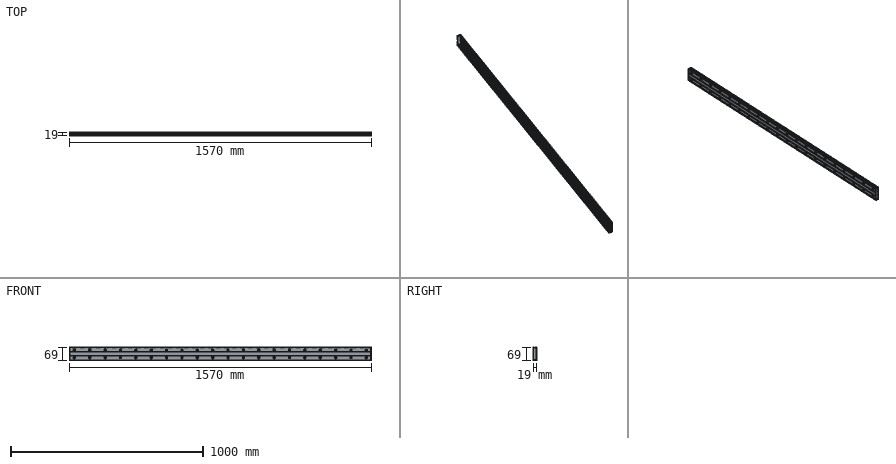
import cadquery as cq

length = 1570.0
thickness = 19.0
height = 69.0

channel_width = 20.5
channel_depth = 1.0

lip_thickness = 4.5
lip_wall_run = 1.0

track_center = 5.0
track_crest = 3.0
track_height = 2.0

hole_diameter = 7.0
hole_pitch = 80.0
hole_columns = 20
hole_row_spacing = 39.0


def upper_section():
    """Upper half of the rail section as (y, z) points, front to rear."""
    front = -thickness / 2
    rear = thickness / 2
    top = height / 2
    floor = top - track_height
    channel_edge = channel_width / 2
    lip_rear = front + lip_thickness
    crest_front = track_center - track_crest / 2
    crest_rear = track_center + track_crest / 2
    return [
        (front + channel_depth, channel_edge),
        (front, channel_edge),
        (front, top),
        (lip_rear, top),
        (lip_rear + lip_wall_run, floor),
        (crest_front - track_height, floor),
        (crest_front, top),
        (crest_rear, top),
        (crest_rear + track_height, floor),
        (rear, floor),
        (rear, channel_edge),
        (rear - channel_depth, channel_edge),
    ]


def rail_body():
    """Rail of constant section, symmetric above and below its middle."""
    upper = upper_section()
    lower = [(y, -z) for y, z in reversed(upper)]
    section = cq.Workplane("YZ").polyline(upper + lower).close()
    return section.extrude(length / 2, both=True)


def mounting_holes():
    return (
        cq.Workplane("XZ")
        .rarray(hole_pitch, hole_row_spacing, hole_columns, 2)
        .circle(hole_diameter / 2)
        .extrude(thickness, both=True)
    )


result = rail_body().cut(mounting_holes())